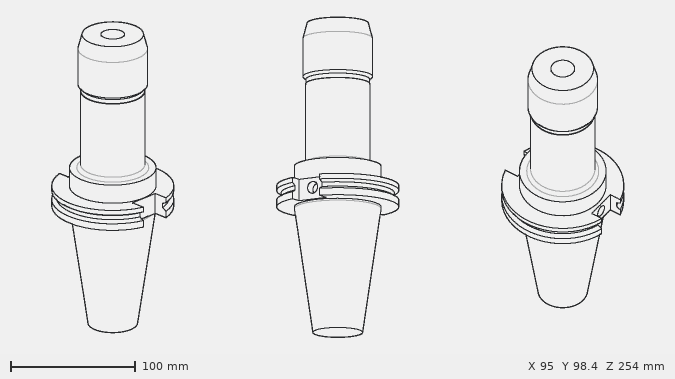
import cadquery as cq
import math

GAUGE_DIAMETER = 69.85
TAPER_LENGTH = 101.6
TAPER_RATIO = 7 / 24
NOSE_HEIGHT = 152.4

FLANGE_DIAMETER = 98.425
FLANGE_BOTTOM = 1.5
FLANGE_TOP = 19.05
GROOVE_CENTER = 11.1
GROOVE_DIAMETER = 91.25
GROOVE_MOUTH = 7.7
GROOVE_FLANK_ANGLE = 30

COLLAR_TOP = 35.0
SHANK_DIAMETER = 52.0
SHANK_FILLET = 3.0

HEAD_DIAMETER = 56.2
HEAD_BOTTOM = 108.6
HEAD_UNDERSIDE_ANGLE = 45
NOSE_TAPER_LENGTH = 12.4
NOSE_TAPER_ANGLE = 15

RELIEF_DIAMETER = 51.5
RELIEF_BOTTOM = 102.7

BORE_DIAMETER = 19.05
BORE_DEPTH = 50.0

SLOT_WIDTH = 25.9
SLOT_FLOOR_LEFT = 37.7
SLOT_FLOOR_RIGHT = 35.3
SLOT_HOLE_DIAMETER = 9.5
SLOT_HOLE_DEPTH = 8.0


def tangent(angle):
    return math.tan(math.radians(angle))


def revolve_about_axis(outline):
    """Revolve a closed XZ half outline a full turn about Z."""
    return outline.revolve(360, (0, 0, 0), (0, 1, 0))


def make_body():
    """Taper, collar, shank, relief and head, without the flange."""
    gauge_radius = GAUGE_DIAMETER / 2
    small_end_radius = gauge_radius - TAPER_LENGTH * TAPER_RATIO / 2
    shank_radius = SHANK_DIAMETER / 2
    head_radius = HEAD_DIAMETER / 2
    relief_radius = RELIEF_DIAMETER / 2
    relief_top = HEAD_BOTTOM - (head_radius - relief_radius) * tangent(HEAD_UNDERSIDE_ANGLE)
    relief_step = shank_radius - relief_radius
    nose_radius = head_radius - NOSE_TAPER_LENGTH * tangent(NOSE_TAPER_ANGLE)
    fillet_drop = SHANK_FILLET * math.sqrt(0.5)
    fillet_center = (shank_radius + SHANK_FILLET, COLLAR_TOP + SHANK_FILLET)

    outline = (
        cq.Workplane("XZ")
        .moveTo(0, -TAPER_LENGTH)
        .lineTo(small_end_radius, -TAPER_LENGTH)
        .lineTo(gauge_radius, 0)
        .lineTo(gauge_radius, COLLAR_TOP)
        .lineTo(fillet_center[0], COLLAR_TOP)
        .threePointArc(
            (fillet_center[0] - fillet_drop, fillet_center[1] - fillet_drop),
            (shank_radius, fillet_center[1]),
        )
        .lineTo(shank_radius, RELIEF_BOTTOM - relief_step)
        .lineTo(relief_radius, RELIEF_BOTTOM)
        .lineTo(relief_radius, relief_top)
        .lineTo(head_radius, HEAD_BOTTOM)
        .lineTo(head_radius, NOSE_HEIGHT - NOSE_TAPER_LENGTH)
        .lineTo(nose_radius, NOSE_HEIGHT)
        .lineTo(0, NOSE_HEIGHT)
        .close()
    )
    return revolve_about_axis(outline)


def make_flange():
    """Flange disc with its V groove."""
    flange_radius = FLANGE_DIAMETER / 2
    groove_radius = GROOVE_DIAMETER / 2
    half_mouth = GROOVE_MOUTH / 2
    half_floor = half_mouth - (flange_radius - groove_radius) * tangent(GROOVE_FLANK_ANGLE)
    outline = (
        cq.Workplane("XZ")
        .moveTo(0, FLANGE_BOTTOM)
        .lineTo(flange_radius, FLANGE_BOTTOM)
        .lineTo(flange_radius, GROOVE_CENTER - half_mouth)
        .lineTo(groove_radius, GROOVE_CENTER - half_floor)
        .lineTo(groove_radius, GROOVE_CENTER + half_floor)
        .lineTo(flange_radius, GROOVE_CENTER + half_mouth)
        .lineTo(flange_radius, FLANGE_TOP)
        .lineTo(0, FLANGE_TOP)
        .close()
    )
    return revolve_about_axis(outline)


def make_drive_slot(side, floor_distance):
    """Box that cuts one drive slot; side is -1 or +1 along X."""
    slot_length = FLANGE_DIAMETER / 2
    slot_height = FLANGE_TOP - FLANGE_BOTTOM
    center = (side * (floor_distance + slot_length / 2), 0, FLANGE_BOTTOM + slot_height / 2)
    return cq.Workplane("XY").box(slot_length, SLOT_WIDTH, slot_height).translate(center)


def make_slot_hole():
    """Blind radial hole in the floor of the -X drive slot."""
    return (
        cq.Workplane("YZ", origin=(-SLOT_FLOOR_LEFT, 0, GROOVE_CENTER))
        .circle(SLOT_HOLE_DIAMETER / 2)
        .extrude(SLOT_HOLE_DEPTH)
    )


def make_bore():
    """Blind tool bore in the nose face."""
    return (
        cq.Workplane("XY", origin=(0, 0, NOSE_HEIGHT))
        .circle(BORE_DIAMETER / 2)
        .extrude(-BORE_DEPTH)
    )


holder = make_body().union(make_flange())
for side, floor_distance in ((-1, SLOT_FLOOR_LEFT), (1, SLOT_FLOOR_RIGHT)):
    holder = holder.cut(make_drive_slot(side, floor_distance))
result = holder.cut(make_slot_hole()).cut(make_bore())